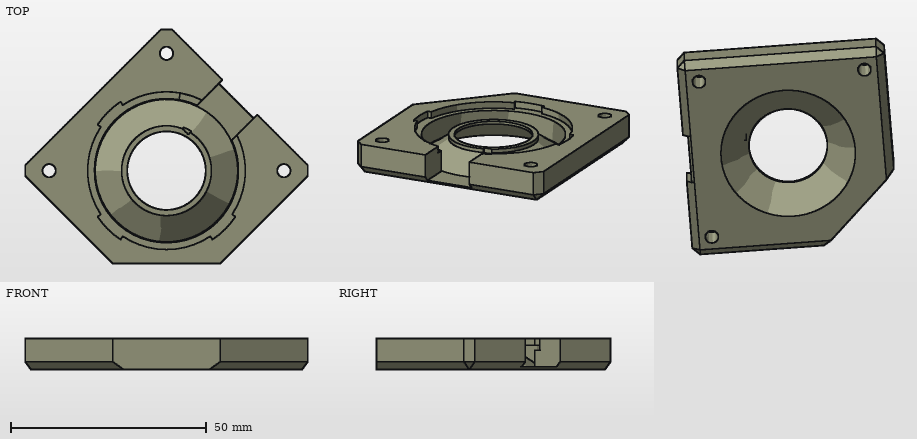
import cadquery as cq
import math

height = 8.0
corner_reach = 36.1
front_reach = 23.75
side_reach = 37.45
bottom_chamfer = 2.0

hole_diameter = 3.3
hole_radius_from_center = 29.95

bore_radius = 18.4
ledge_radius = 20.1
ledge_z = 6.3
floor_z = 0.7

key_radius = 21.15
key_half_angle = 11.3
key_angles = (135, 225, 315)

low_ledge_drop = 1.3
low_ledge_start_angle = 45
low_ledge_end_angle = 80

opening_radius = 9.995
ring_radius = 11.5
ring_height = 1.0
lip_height = 0.7
cone_base_radius = 18.2
shell_thickness = 1.0

notch_start = 10.5
notch_length = 2.2
notch_side = 2.6
notch_width = 2.1

slot_width = 12.55


def cylinder(radius, bottom, top):
    return cq.Workplane("XY").workplane(offset=bottom).circle(radius).extrude(top - bottom)


def sector(radius, start_angle, end_angle, bottom, top):
    """Pie-shaped solid between two angles given in degrees."""
    def rim_point(angle):
        turn = math.radians(angle)
        return (radius * math.cos(turn), radius * math.sin(turn))

    return (
        cq.Workplane("XY").workplane(offset=bottom)
        .moveTo(0, 0)
        .lineTo(*rim_point(start_angle))
        .threePointArc(rim_point((start_angle + end_angle) / 2), rim_point(end_angle))
        .close()
        .extrude(top - bottom)
    )


def make_plate():
    side = side_reach * math.sqrt(2)
    square = (
        cq.Workplane("XY").rect(side, side).extrude(height)
        .faces("<Z").edges().chamfer(bottom_chamfer)
        .rotate((0, 0, 0), (0, 0, 1), 45)
    )
    corner_foot = side_reach - bottom_chamfer * math.sqrt(2)
    left_right_limits = (
        cq.Workplane("XZ")
        .polyline([
            (-corner_foot, 0),
            (corner_foot, 0),
            (corner_reach, bottom_chamfer),
            (corner_reach, height),
            (-corner_reach, height),
            (-corner_reach, bottom_chamfer),
        ])
        .close()
        .extrude(side_reach, both=True)
    )
    front_back_limits = (
        cq.Workplane("YZ")
        .polyline([
            (-front_reach, 0),
            (corner_foot, 0),
            (corner_reach, bottom_chamfer),
            (corner_reach, height),
            (-front_reach, height),
        ])
        .close()
        .extrude(side_reach, both=True)
    )
    return square.intersect(left_right_limits).intersect(front_back_limits)


def make_bore():
    """Everything removed above the domed floor, out to the recesses in the ledge."""
    bore = cylinder(bore_radius, floor_z, height).union(cylinder(ledge_radius, ledge_z, height))
    for angle in key_angles:
        key = sector(key_radius, angle - key_half_angle, angle + key_half_angle, ledge_z, height)
        bore = bore.union(key)
    low_ledge = sector(
        ledge_radius, low_ledge_start_angle, low_ledge_end_angle, ledge_z - low_ledge_drop, height
    )
    return bore.union(low_ledge)


def make_slot():
    return (
        cq.Workplane("XY").box(side_reach, slot_width, height, centered=(False, True, False))
        .translate((0, 0, floor_z))
        .rotate((0, 0, 0), (0, 0, 1), 45)
    )


def make_dome():
    """Conical shell that climbs from the bore wall to the ring around the opening."""
    cone_top_z = ledge_z - ring_height
    inner_base_radius = cone_base_radius - shell_thickness
    profile = [
        (inner_base_radius, 0),
        (bore_radius, 0),
        (bore_radius, floor_z),
        (cone_base_radius, floor_z),
        (ring_radius, cone_top_z),
        (ring_radius, ledge_z),
        (opening_radius, ledge_z),
        (opening_radius, ledge_z - lip_height),
    ]
    return cq.Workplane("XZ").polyline(profile).close().revolve(360, (0, 0, 0), (0, 1, 0))


def make_ring_notch():
    return (
        cq.Workplane("XY").box(notch_length, notch_width, height, centered=False)
        .translate((notch_start, notch_side, ledge_z - low_ledge_drop))
        .rotate((0, 0, 0), (0, 0, 1), 45)
    )


def make_mounting_holes():
    return (
        cq.Workplane("XY")
        .pushPoints([
            (-hole_radius_from_center, 0),
            (hole_radius_from_center, 0),
            (0, hole_radius_from_center),
        ])
        .circle(hole_diameter / 2)
        .extrude(height)
    )


body = make_plate().cut(make_bore()).cut(make_slot()).cut(make_mounting_holes())
result = body.cut(cylinder(bore_radius, 0, height)).union(make_dome().cut(make_ring_notch()))